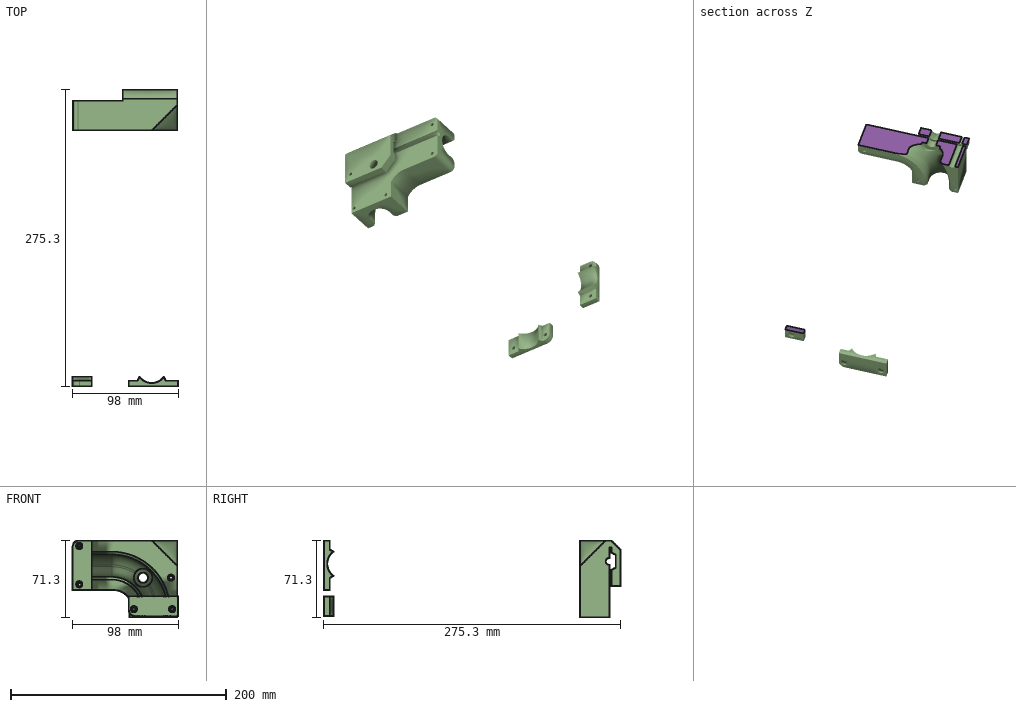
import cadquery as cq
import math

overall_depth = 275.3

housing_length = 97.0
housing_height = 71.3
housing_depth = 27.5
left_leg_height = 46.0
lower_leg_width = 44.5
left_corner_fillet = 4.5
inner_elbow_radius = 16.5
inner_elbow_center_x = 38.0
corner_cut = 23.7

axis_z = 48.2
bend_radius = 41.3
bend_center_x = 35.8
channel_width = 21.0
channel_floor_width = 1.7
channel_wall_depth = 9.5
mouth_chamfer = 2.5

seat_x = 65.0
seat_z = 37.0
seat_diameter = 17.0
seat_hole_diameter = 9.0
seat_depth = 20.5

groove_diameter = 6.0
groove_center_depth = 0.5
groove_drop = 19.3

hook_length = 51.0
hook_height = 42.0
hook_reach = 10.2
hook_gap = 1.7
hook_root = 6.3
hook_top_chamfer = 8.5
hook_end_chamfer = 10.5
hook_recess_depth = 3.9
hook_recess_drop = 11.3
hook_recess_height = 15.7
hook_recess_slope = 2.0

pilot_diameter = 3.3
left_pilot_x = 6.3
left_pilot_heights = (64.5, 30.3)
lower_pilot_z = 4.7
lower_pilot_positions = (58.5, 94.0)
wall_screw_inset = 6.0
wall_screw_diameter = 6.0

clamp_length = 46.0
clamp_width = 18.2
clamp_thickness = 5.5
clamp_fillet = 6.3
clamp_side_offset = 0.5
lower_clamp_z = 1.5
clamp_hole_diameter = 3.5
clamp_head_diameter = 6.0
clamp_head_depth = 2.8
clamp_hole_spacing = 35.5
clamp_hole_end_inset = 5.0
clamp_hole_side_inset = 6.3
lip_center = 21.5
lip_height = 3.5
lip_tip_spacing = 22.5
lip_base_spacing = 26.5
lip_arc_depth = 2.2

bend_center_z = axis_z - bend_radius
leg_bottom_z = housing_height - left_leg_height
leg_left_x = housing_length - lower_leg_width
hook_back_y = housing_depth + hook_reach
clamp_front_y = hook_back_y - overall_depth


def along_y(x, z, diameter, start, end):
    """Cylinder parallel to Y between two Y positions."""
    return cq.Workplane(
        cq.Solid.makeCylinder(diameter / 2, end - start, cq.Vector(x, start, z), cq.Vector(0, 1, 0))
    )


def make_corner_cut():
    """Tetrahedron that removes the front upper right corner equally along all three edges."""
    corner = cq.Vector(housing_length, 0, housing_height)
    along_length = corner - cq.Vector(corner_cut, 0, 0)
    along_depth = corner + cq.Vector(0, corner_cut, 0)
    along_height = corner - cq.Vector(0, 0, corner_cut)
    triangles = (
        (corner, along_length, along_depth),
        (corner, along_depth, along_height),
        (corner, along_height, along_length),
        (along_length, along_height, along_depth),
    )
    faces = [cq.Face.makeFromWires(cq.Wire.makePolygon(points, close=True)) for points in triangles]
    return cq.Workplane(cq.Solid.makeSolid(cq.Shell.makeShell(faces)))


def make_block():
    """Two-legged block with a rounded outer corner, a concave elbow and the front corner cut off."""
    elbow_center_z = leg_bottom_z - inner_elbow_radius
    elbow_run = leg_left_x - inner_elbow_center_x
    elbow_angle = math.asin(elbow_run / inner_elbow_radius)
    elbow_end = (leg_left_x, elbow_center_z + inner_elbow_radius * math.cos(elbow_angle))
    elbow_middle = (
        inner_elbow_center_x + inner_elbow_radius * math.sin(elbow_angle / 2),
        elbow_center_z + inner_elbow_radius * math.cos(elbow_angle / 2),
    )
    block = (
        cq.Workplane("XZ")
        .moveTo(0, housing_height)
        .lineTo(housing_length, housing_height)
        .lineTo(housing_length, 0)
        .lineTo(leg_left_x, 0)
        .lineTo(*elbow_end)
        .threePointArc(elbow_middle, (inner_elbow_center_x, leg_bottom_z))
        .lineTo(0, leg_bottom_z)
        .close()
        .extrude(-housing_depth)
    )
    block = block.edges("|Y and <X").fillet(left_corner_fillet)
    return block.cut(make_corner_cut())


def channel_profile(workplane, center):
    """Cross-section, x across and y into the block: walls, round bottom, narrow flat floor."""
    half = channel_width / 2
    floor_half = channel_floor_width / 2
    floor_depth = channel_wall_depth + math.sqrt(half**2 - floor_half**2)
    arc_middle_x = half * math.sqrt(0.5)
    arc_middle_y = channel_wall_depth + arc_middle_x
    return (
        workplane.moveTo(center - half - mouth_chamfer, 0)
        .lineTo(center - half, mouth_chamfer)
        .lineTo(center - half, channel_wall_depth)
        .threePointArc((center - arc_middle_x, arc_middle_y), (center - floor_half, floor_depth))
        .lineTo(center + floor_half, floor_depth)
        .threePointArc((center + arc_middle_x, arc_middle_y), (center + half, channel_wall_depth))
        .lineTo(center + half, mouth_chamfer)
        .lineTo(center + half + mouth_chamfer, 0)
        .close()
    )


def make_channel():
    """Straight run, quarter bend and straight run that together form the open pipe channel."""
    bend_start = cq.Plane((bend_center_x, 0, bend_center_z), (0, 0, 1), (-1, 0, 0))
    left_leg = channel_profile(cq.Workplane(bend_start), bend_radius).extrude(bend_center_x)
    bend = channel_profile(cq.Workplane(bend_start), bend_radius).revolve(90, (0, 0, 0), (0, 1, 0))
    bend_end = cq.Plane((bend_center_x, 0, bend_center_z), (1, 0, 0), (0, 0, 1))
    lower_leg = channel_profile(cq.Workplane(bend_end), bend_radius).extrude(-bend_center_z)
    return left_leg.union(bend).union(lower_leg)


def make_hook():
    """Hook that hangs from the top edge of the back, with a gap and a recess facing the housing."""
    inner = housing_depth + hook_gap
    top = housing_height
    recess_top = top - hook_recess_drop
    recess_bottom = recess_top - hook_recess_height
    recess_y = inner + hook_recess_depth
    hook = (
        cq.Workplane("YZ", origin=(housing_length - hook_length, 0, 0))
        .moveTo(housing_depth, top)
        .lineTo(hook_back_y - hook_top_chamfer, top)
        .lineTo(hook_back_y, top - hook_top_chamfer)
        .lineTo(hook_back_y, top - hook_height)
        .lineTo(inner, top - hook_height)
        .lineTo(inner, recess_bottom)
        .lineTo(recess_y, recess_bottom + hook_recess_slope)
        .lineTo(recess_y, recess_top - hook_recess_slope)
        .lineTo(inner, recess_top)
        .lineTo(inner, top - hook_root)
        .lineTo(housing_depth, top - hook_root)
        .close()
        .extrude(hook_length)
    )
    return hook.edges("|Y and <X and <Z").chamfer(hook_end_chamfer)


def make_back_groove():
    """Round-bottomed groove along the whole back."""
    center_y = housing_depth - groove_center_depth
    center_z = housing_height - groove_drop
    return (
        cq.Workplane("YZ")
        .moveTo(housing_depth, center_z + groove_diameter / 2)
        .lineTo(center_y, center_z + groove_diameter / 2)
        .threePointArc(
            (center_y - groove_diameter / 2, center_z), (center_y, center_z - groove_diameter / 2)
        )
        .lineTo(housing_depth, center_z - groove_diameter / 2)
        .close()
        .extrude(housing_length)
    )


def make_housing():
    """Block with its channel, groove, hook, seat and screw holes."""
    housing = make_block().cut(make_channel()).cut(make_back_groove()).union(make_hook())
    housing = housing.cut(along_y(seat_x, seat_z, seat_diameter, 0, seat_depth))
    housing = housing.cut(along_y(seat_x, seat_z, seat_hole_diameter, 0, hook_back_y))
    wall_screw_x = housing_length - wall_screw_inset
    housing = housing.cut(along_y(wall_screw_x, seat_z, wall_screw_diameter, 0, housing_depth))
    housing = housing.cut(along_y(wall_screw_x, seat_z, pilot_diameter, 0, hook_back_y))
    for z in left_pilot_heights:
        housing = housing.cut(along_y(left_pilot_x, z, pilot_diameter, 0, housing_depth))
    for x in lower_pilot_positions:
        housing = housing.cut(along_y(x, lower_pilot_z, pilot_diameter, 0, housing_depth))
    return housing


def make_clamp(plane):
    """Clamp on a plane whose local x runs along it, y to its back, z away from its outer side."""
    tip = lip_tip_spacing / 2
    base = lip_base_spacing / 2
    tip_y = clamp_thickness + lip_height
    clamp = (
        cq.Workplane("XY")
        .lineTo(0, clamp_thickness)
        .lineTo(lip_center - base, clamp_thickness)
        .lineTo(lip_center - tip, tip_y)
        .threePointArc((lip_center, clamp_thickness - lip_arc_depth), (lip_center + tip, tip_y))
        .lineTo(lip_center + base, clamp_thickness)
        .lineTo(clamp_length, clamp_thickness)
        .lineTo(clamp_length, 0)
        .close()
        .extrude(clamp_width)
        .edges("|Y and <X and <Z")
        .fillet(clamp_fillet)
    )
    for x in (clamp_hole_end_inset, clamp_hole_end_inset + clamp_hole_spacing):
        z = clamp_hole_side_inset
        clamp = clamp.cut(along_y(x, z, clamp_hole_diameter, 0, clamp_thickness))
        clamp = clamp.cut(along_y(x, z, clamp_head_diameter, 0, clamp_head_depth))
    return clamp.val().moved(cq.Location(plane))


left_clamp_plane = cq.Plane(
    origin=(-clamp_side_offset, clamp_front_y, housing_height), xDir=(0, 0, -1), normal=(1, 0, 0)
)
lower_clamp_plane = cq.Plane(
    origin=(housing_length + clamp_side_offset - clamp_length, clamp_front_y, lower_clamp_z),
    xDir=(1, 0, 0),
    normal=(0, 0, 1),
)

housing = make_housing()
clamps = [make_clamp(plane) for plane in (left_clamp_plane, lower_clamp_plane)]
result = cq.Compound.makeCompound([housing.val(), *clamps])